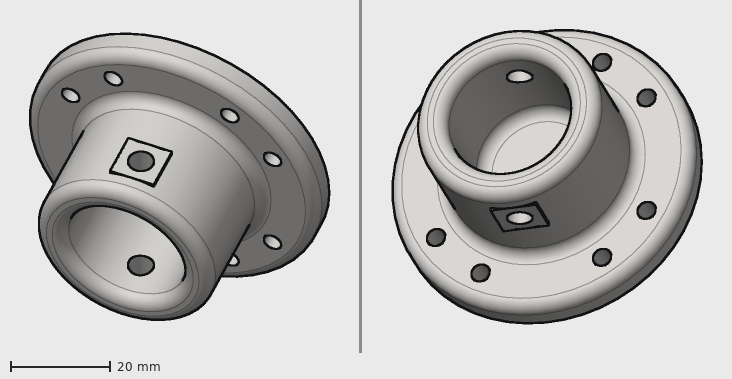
import cadquery as cq
import math

flange_radius = 31.75
flange_thickness = 6.35
overall_length = 31.75
hub_radius = 19.2
bore_radius = 12.8
edge_radius = 2.55
bore_depth = overall_length - flange_thickness

bolt_circle_radius = 25.4
bolt_hole_diameter = 3.8
bolt_angles = [30, 60, 120, 150, 210, 240, 300, 330]

pad_side = 9.5
cross_hole_diameter = 5.2
cross_hole_from_end = 9.5

hub_end = -overall_length
flange_front = -flange_thickness
bore_floor = hub_end + bore_depth
cross_hole_y = hub_end + cross_hole_from_end


def arc_by_center(profile, center, start_angle, end_angle):
    """Add an edge_radius arc that starts at the current point of the profile."""
    def on_arc(degrees):
        angle = math.radians(degrees)
        return (
            center[0] + edge_radius * math.cos(angle),
            center[1] + edge_radius * math.sin(angle),
        )
    return profile.threePointArc(on_arc((start_angle + end_angle) / 2), on_arc(end_angle))


def make_body():
    """Revolve the half section, including all its rounded corners, about Y."""
    section = cq.Workplane("XY").lineTo(flange_radius, 0)
    section = section.lineTo(flange_radius, flange_front + edge_radius)
    section = arc_by_center(section, (flange_radius - edge_radius, flange_front + edge_radius), 0, -90)
    section = section.lineTo(hub_radius + edge_radius, flange_front)
    section = arc_by_center(section, (hub_radius + edge_radius, flange_front - edge_radius), 90, 180)
    section = section.lineTo(hub_radius, hub_end + edge_radius)
    section = arc_by_center(section, (hub_radius - edge_radius, hub_end + edge_radius), 0, -90)
    section = section.lineTo(bore_radius + edge_radius, hub_end)
    section = arc_by_center(section, (bore_radius + edge_radius, hub_end + edge_radius), 270, 180)
    section = section.lineTo(bore_radius, bore_floor - edge_radius)
    section = arc_by_center(section, (bore_radius - edge_radius, bore_floor - edge_radius), 0, 90)
    section = section.lineTo(0, bore_floor).close()
    return section.revolve(360, (0, 0), (0, 1))


def make_pads():
    """Square pads level with the top and bottom of the hub, clear of the bore."""
    pad_height = (hub_radius - bore_radius) / 2
    pad_center_z = hub_radius - pad_height / 2
    upper = cq.Workplane("XY").box(pad_side, pad_side, pad_height)
    upper = upper.translate((0, cross_hole_y, pad_center_z))
    return upper.union(upper.mirror("XY"))


def make_cross_hole():
    """Vertical hole through both hub walls and both pads."""
    hole = cq.Workplane("XY").center(0, cross_hole_y).circle(cross_hole_diameter / 2)
    return hole.extrude(2 * hub_radius, both=True)


def make_bolt_holes():
    """Holes through the flange, in pairs around the bolt circle."""
    centers = [
        (
            bolt_circle_radius * math.cos(math.radians(angle)),
            bolt_circle_radius * math.sin(math.radians(angle)),
        )
        for angle in bolt_angles
    ]
    holes = cq.Workplane("XZ").pushPoints(centers).circle(bolt_hole_diameter / 2)
    return holes.extrude(flange_thickness)


result = make_body().union(make_pads()).cut(make_cross_hole()).cut(make_bolt_holes())